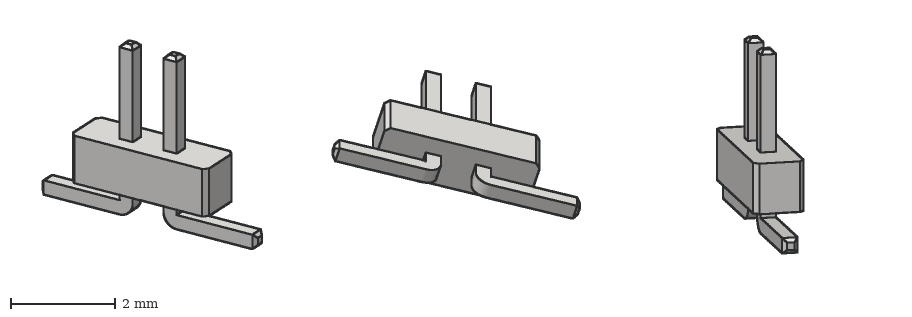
import cadquery as cq

overall_length = 4.9
overall_height = 3.6

pitch = 1.0
housing_length = 3.1
housing_width = pitch
housing_height = pitch
housing_bottom = 0.6
housing_chamfer = 0.1

pin_size = 0.305
tip_chamfer = 0.08
pin_reach = overall_length / 2 - pitch / 2 + pin_size / 2


def make_housing():
    """Rectangular block with chamfered vertical edges, standing above the feet."""
    return (
        cq.Workplane("XY", origin=(0, 0, housing_bottom))
        .box(housing_length, housing_width, housing_height, centered=(True, True, False))
        .edges("|Z")
        .chamfer(housing_chamfer)
    )


def make_right_pin():
    """Upright post with a foot towards +X, a rounded outer heel and chamfered tips."""
    inner_face = pitch / 2 - pin_size / 2
    post = cq.Workplane("XY").box(
        pin_size, pin_size, overall_height, centered=(True, True, False)
    ).translate((pitch / 2, 0, 0))
    foot = cq.Workplane("XY").box(
        pin_reach, pin_size, pin_size, centered=(False, True, False)
    ).translate((inner_face, 0, 0))

    heel_cut = (
        cq.Workplane("XZ", origin=(inner_face, 0, 0))
        .rect(pin_size, pin_size, centered=False)
        .extrude(pin_size / 2, both=True)
        .cut(
            cq.Workplane("XZ", origin=(inner_face + pin_size, 0, pin_size))
            .circle(pin_size)
            .extrude(pin_size / 2, both=True)
        )
    )
    pin = post.faces(">Z").chamfer(tip_chamfer)
    pin = pin.union(foot.faces(">X").chamfer(tip_chamfer))
    return pin.cut(heel_cut)


right_pin = make_right_pin()
left_pin = right_pin.mirror("YZ")

result = make_housing().union(right_pin).union(left_pin)